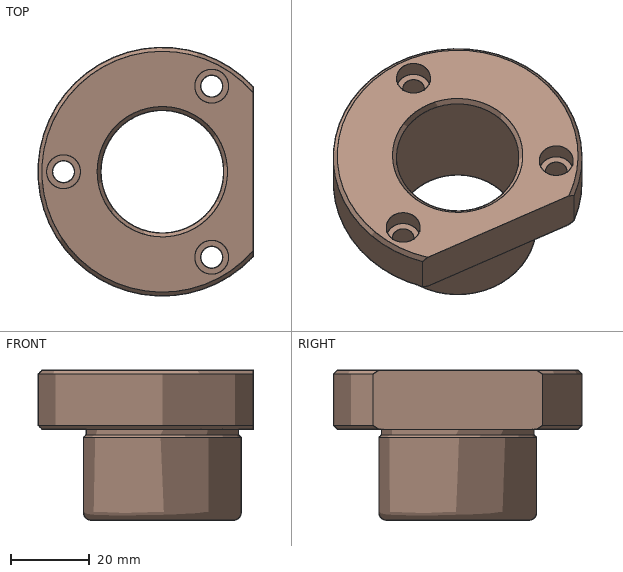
import cadquery as cq

flange_diameter = 62.95
flange_thickness = 15.0
flat_offset = 23.05
edge_chamfer = 1.0

total_height = 38.0
spigot_diameter = 40.0
spigot_end_fillet = 2.0
relief_diameter = 38.65
relief_height = 1.4

bore_diameter = 31.0

screw_circle_radius = 25.0
screw_count = 3
screw_diameter = 5.5
counterbore_diameter = 8.55
counterbore_depth = 5.65

spigot_length = total_height - flange_thickness
relief_step = (spigot_diameter - relief_diameter) / 2


def make_flange():
    """Chamfered disc standing on Z = 0, cut by a plain flat on the +X side."""
    disc = (
        cq.Workplane("XY")
        .circle(flange_diameter / 2)
        .extrude(flange_thickness)
        .edges()
        .chamfer(edge_chamfer)
    )
    beyond_flat = (
        cq.Workplane("XY")
        .box(flange_diameter, flange_diameter, flange_thickness, centered=(False, True, False))
        .translate((flat_offset, 0, 0))
    )
    return disc.cut(beyond_flat)


def make_spigot():
    """Round spigot with a rounded end and a narrow relief under the flange."""
    spigot = (
        cq.Workplane("XY")
        .workplane(offset=-spigot_length)
        .circle(spigot_diameter / 2)
        .extrude(spigot_length - relief_height)
        .faces(">Z")
        .edges()
        .chamfer(relief_step)
        .faces("<Z")
        .edges()
        .fillet(spigot_end_fillet)
    )
    relief = (
        cq.Workplane("XY")
        .workplane(offset=-relief_height)
        .circle(relief_diameter / 2)
        .extrude(relief_height)
    )
    return spigot.union(relief)


def cut_bore(body):
    """Through bore with a chamfered mouth on the flange face."""
    return (
        body.faces(">Z")
        .workplane(origin=(0, 0, flange_thickness))
        .cskHole(bore_diameter, bore_diameter + 2 * edge_chamfer, 90)
    )


def cut_screw_holes(body):
    """Counterbored holes equally spaced about the axis, the first one on -X."""
    return (
        body.faces(">Z")
        .workplane(origin=(0, 0, flange_thickness))
        .polarArray(screw_circle_radius, 180, 360, screw_count)
        .cboreHole(screw_diameter, counterbore_diameter, counterbore_depth)
    )


result = cut_screw_holes(cut_bore(make_flange().union(make_spigot())))